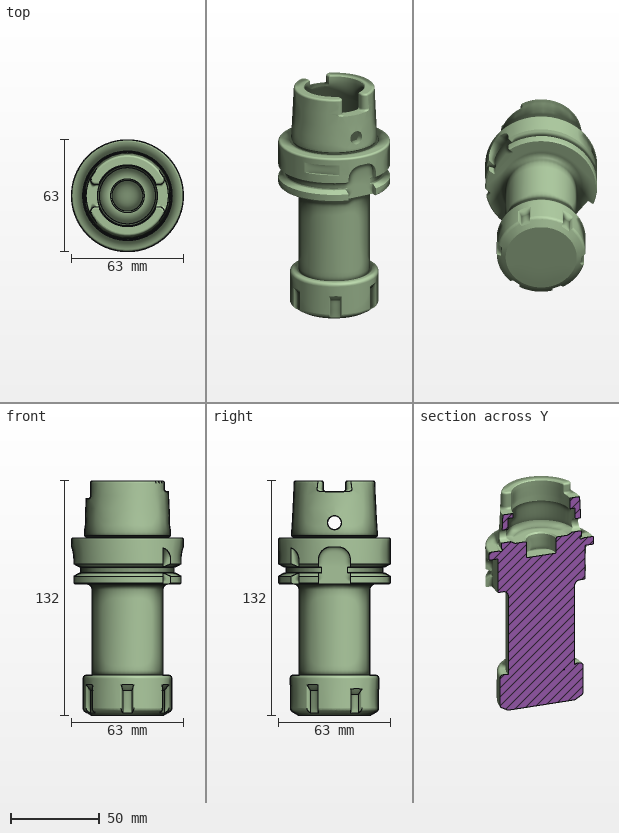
import cadquery as cq
import math

taper_top = 32.0
flange_bottom = -26.0
nut_bottom = -100.0
nut_height = 22.8
nut_top = nut_bottom + nut_height

gauge_height = 6.3
gauge_radius = 24.0
taper_slope = 0.05
rim_fillet = 1.2
collar_top = 2.1
collar_bottom = 1.2
rim_radius = gauge_radius - taper_slope * (taper_top - gauge_height)
collar_radius = gauge_radius - taper_slope * (collar_top - gauge_height)
relief_radius = 23.4
relief_top = 0.4
face_recess_depth = 0.4
face_recess_radius = 25.2

bore_radius = 16.9
bore_chamfer = 0.5
lip_bottom = 19.0
undercut_radius = 20.0
undercut_bottom = 5.6
funnel_radius = 15.8
funnel_angle = 30.0
funnel_depth = (undercut_radius - funnel_radius) * math.tan(math.radians(funnel_angle))
bore_floor = undercut_bottom - funnel_depth
centre_hole_radius = 8.7
centre_hole_chamfer = 0.8
centre_hole_depth = 10.0

flange_radius = 31.5
flange_fillet = 1.2
flange_bottom_chamfer = 0.7
groove_middle = -18.125
groove_width = 7.0
groove_angle = 30.0
groove_flat_width = 3.6
groove_radius = 27.3
groove_fillet = 0.4
groove_cone_drop = (groove_width - groove_flat_width) / 2
groove_cone_radius = flange_radius - groove_cone_drop / math.tan(math.radians(groove_angle))

neck_radius = 20.0
neck_fillet = 3.0

nut_radius = 25.0
nut_top_fillet = 2.0
nut_seat_radius = 21.3
nut_seat_depth = 0.5
nut_nose_radius = 20.0
nut_nose_angle = 30.0
nut_nose_height = (nut_radius - nut_nose_radius) * math.tan(math.radians(nut_nose_angle))
nut_nose_fillet = 2.2

slot_count = 6
slot_start_angle = 30.0
slot_floor_width = 5.2
slot_mouth_width = 6.6
slot_mouth_rounding = 0.4
slot_floor_radius = 22.5
slot_runout_rise = 3.4
slot_end_height = 17.6
short_slot_end_height = 15.2

notch_width = 12.54
notch_corner_radius = 2.8
notch_shoulder = 20.75
notch_floor_fillet = 1.3
deep_notch_floor = 22.0
shallow_notch_floor = 26.0

cross_hole_diameter = 7.7
cross_hole_height = 8.5

key_width = 18.0
key_corner_radius = 7.2
key_top = -5.1
key_floor = 26.3
index_wall = 20.0
flat_distance = 29.8
flat_angle = 135.0
flat_top = -4.0
flat_bottom = -9.9

clearance = 20.0


def body():
    """Revolved outline of taper shank, flange and neck, down into the nut."""
    groove_top = groove_middle + groove_width / 2
    groove_bottom = groove_middle - groove_width / 2
    flat_half = groove_flat_width / 2
    profile = (
        cq.Workplane("XZ")
        .moveTo(0, taper_top)
        .lineTo(rim_radius, taper_top)
        .lineTo(collar_radius, collar_top)
        .lineTo(collar_radius, collar_bottom)
        .lineTo(relief_radius, relief_top)
        .lineTo(relief_radius, -face_recess_depth)
        .lineTo(face_recess_radius - face_recess_depth, -face_recess_depth)
        .lineTo(face_recess_radius, 0)
        .lineTo(flange_radius - flange_fillet, 0)
        .radiusArc((flange_radius, -flange_fillet), flange_fillet)
        .lineTo(flange_radius, groove_top)
        .lineTo(groove_cone_radius, groove_middle + flat_half)
        .lineTo(groove_radius + groove_fillet, groove_middle + flat_half)
        .radiusArc((groove_radius, groove_middle + flat_half - groove_fillet), -groove_fillet)
        .lineTo(groove_radius, groove_middle - flat_half + groove_fillet)
        .radiusArc((groove_radius + groove_fillet, groove_middle - flat_half), -groove_fillet)
        .lineTo(groove_cone_radius, groove_middle - flat_half)
        .lineTo(flange_radius, groove_bottom)
        .lineTo(flange_radius, flange_bottom + flange_bottom_chamfer)
        .lineTo(flange_radius - flange_bottom_chamfer, flange_bottom)
        .lineTo(neck_radius + neck_fillet, flange_bottom)
        .radiusArc((neck_radius, flange_bottom - neck_fillet), -neck_fillet)
        .lineTo(neck_radius, nut_bottom)
        .lineTo(0, nut_bottom)
        .close()
    )
    return profile.revolve(360, (0, 0, 0), (0, 1, 0))


def notch_cutter(floor):
    """Corridor along +X that opens behind two shoulders, with rounded corners and floor edges."""
    half = notch_width / 2
    reach = notch_shoulder + clearance
    plan = (
        cq.Workplane("XY")
        .workplane(offset=floor)
        .moveTo(0, -half)
        .lineTo(notch_shoulder - notch_corner_radius, -half)
        .radiusArc((notch_shoulder, -half - notch_corner_radius), notch_corner_radius)
        .lineTo(notch_shoulder, -clearance)
        .lineTo(reach, -clearance)
        .lineTo(reach, clearance)
        .lineTo(notch_shoulder, clearance)
        .lineTo(notch_shoulder, half + notch_corner_radius)
        .radiusArc((notch_shoulder - notch_corner_radius, half), notch_corner_radius)
        .lineTo(0, half)
        .close()
    )
    return plan.extrude(taper_top + clearance - floor).faces("<Z").edges().fillet(notch_floor_fillet)


def cut_notches(part):
    """Drive notches: the deep one at -X, the shallow one at +X, then the rounded rim."""
    part = part.cut(notch_cutter(shallow_notch_floor))
    part = part.cut(notch_cutter(deep_notch_floor).rotate((0, 0, 0), (0, 0, 1), 180))
    return part.faces(">Z").edges().fillet(rim_fillet)


def bore():
    """Stepped bore with an undercut below its lip and a blind centre hole."""
    hole_rim = centre_hole_radius + centre_hole_chamfer
    hole_bottom = bore_floor - centre_hole_depth
    profile = (
        cq.Workplane("XZ")
        .moveTo(0, taper_top)
        .lineTo(bore_radius + bore_chamfer, taper_top)
        .lineTo(bore_radius, taper_top - bore_chamfer)
        .lineTo(bore_radius, lip_bottom)
        .lineTo(undercut_radius, lip_bottom)
        .lineTo(undercut_radius, undercut_bottom)
        .lineTo(funnel_radius, bore_floor)
        .lineTo(hole_rim, bore_floor)
        .lineTo(centre_hole_radius, bore_floor - centre_hole_chamfer)
        .lineTo(centre_hole_radius, hole_bottom)
        .lineTo(0, hole_bottom)
        .close()
    )
    return profile.revolve(360, (0, 0, 0), (0, 1, 0))


def cross_hole():
    return (
        cq.Workplane("YZ")
        .center(0, cross_hole_height)
        .circle(cross_hole_diameter / 2)
        .extrude(flange_radius, both=True)
    )


def key_cutter(floor, middle):
    """Round-topped slot across the flange, milled from +X down to the plane x = floor."""
    height = key_top - flange_bottom
    return (
        cq.Workplane("XY")
        .box(clearance, key_width, height, centered=(False, True, False))
        .edges("|X and >Z")
        .fillet(key_corner_radius)
        .translate((floor, middle, flange_bottom))
    )


def flange_cuts():
    """Two gripper slots, the corner index notch and the flat for a data carrier."""
    key = key_cutter(key_floor, 0)
    index = key_cutter(index_wall, -index_wall - key_width / 2)
    flat = (
        cq.Workplane("XY")
        .box(clearance, 2 * flange_radius, flat_top - flat_bottom, centered=(False, True, False))
        .translate((flat_distance, 0, flat_bottom))
        .rotate((0, 0, 0), (0, 0, 1), flat_angle)
    )
    return key.union(key.rotate((0, 0, 0), (0, 0, 1), 180)).union(index).union(flat)


def nut_blank():
    outline = (
        cq.Workplane("XZ")
        .moveTo(0, nut_bottom)
        .lineTo(nut_nose_radius, nut_bottom)
        .lineTo(nut_radius, nut_bottom + nut_nose_height)
        .lineTo(nut_radius, nut_top)
        .lineTo(nut_seat_radius, nut_top)
        .lineTo(neck_radius, nut_top - nut_seat_depth)
        .lineTo(0, nut_top - nut_seat_depth)
        .close()
        .revolve(360, (0, 0, 0), (0, 1, 0))
    )
    rounded = outline.edges(cq.selectors.RadiusNthSelector(-1)).edges(">Z").fillet(nut_top_fillet)
    return rounded.edges(cq.selectors.RadiusNthSelector(-1)).edges("<Z").fillet(nut_nose_fillet)


def slot_cutter(end_height):
    """Wrench slot at +X: flat floor, flaring walls with rounded mouth and a sloped upper end."""
    slot_end = nut_bottom + end_height
    run = nut_radius - slot_floor_radius
    reach = slot_floor_radius + 2 * run
    floor_half = slot_floor_width / 2
    mouth_half = slot_mouth_width / 2
    outer_half = mouth_half + slot_mouth_rounding
    outer_radius = math.sqrt(nut_radius**2 - outer_half**2)
    mouth_radius = outer_radius - slot_mouth_rounding
    section = (
        cq.Workplane("XY")
        .workplane(offset=nut_bottom)
        .moveTo(slot_floor_radius, -floor_half)
        .lineTo(mouth_radius, -mouth_half)
        .radiusArc((outer_radius, -outer_half), slot_mouth_rounding)
        .lineTo(reach, -outer_half)
        .lineTo(reach, outer_half)
        .lineTo(outer_radius, outer_half)
        .radiusArc((mouth_radius, mouth_half), slot_mouth_rounding)
        .lineTo(slot_floor_radius, floor_half)
        .close()
        .extrude(nut_height)
    )
    side = (
        cq.Workplane("XZ")
        .moveTo(slot_floor_radius, nut_bottom)
        .lineTo(slot_floor_radius, slot_end - slot_runout_rise)
        .lineTo(reach, slot_end + slot_runout_rise)
        .lineTo(reach, nut_bottom)
        .close()
        .extrude(nut_radius, both=True)
    )
    return section.intersect(side)


def nut():
    """Clamping nut; the slots on its +Y half end lower than those on its -Y half."""
    part = nut_blank()
    for index in range(slot_count):
        angle = slot_start_angle + index * 360 / slot_count
        end_height = short_slot_end_height if angle < 180 else slot_end_height
        part = part.cut(slot_cutter(end_height).rotate((0, 0, 0), (0, 0, 1), angle))
    return part


result = cut_notches(body()).cut(bore()).cut(cross_hole()).cut(flange_cuts()).union(nut())